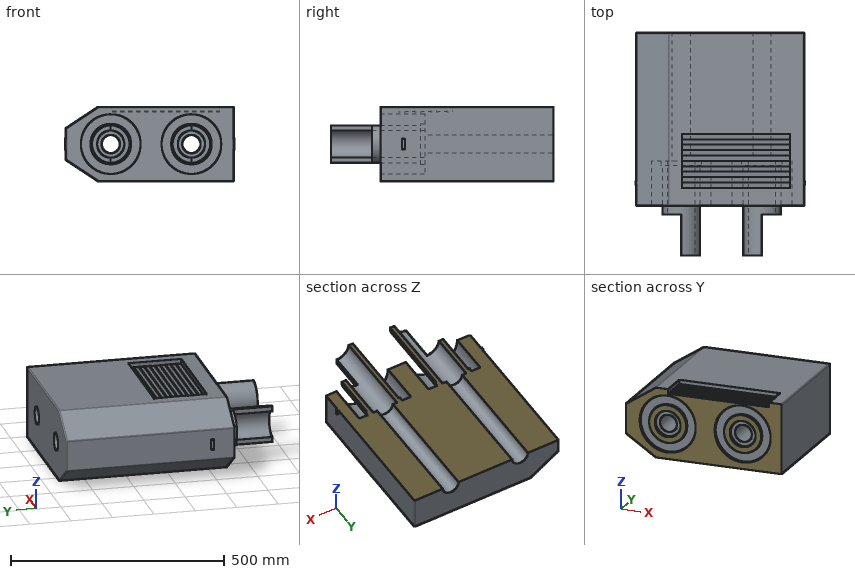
import cadquery as cq

TOTAL_LENGTH = 523.0
HEIGHT = 175.5
TOTAL_WIDTH = 398.5

NUB_HEIGHT = 2.0
BODY_WIDTH = TOTAL_WIDTH - 2 * NUB_HEIGHT
CONTACT_REACH = 116.5
BODY_LENGTH = TOTAL_LENGTH - CONTACT_REACH
TAPER_WIDTH = 76.5
LEFT_FLAT_HEIGHT = 74.5
EDGE_RADIUS = 2.5

NUB_LENGTH = 26.0
NUB_THICKNESS = 7.5
NUB_FROM_FRONT = 54.0
NUB_ROOT = 5.0

CONTACT_PITCH = 189.5
LEFT_CONTACT_X = 105.5
WELL_DIAMETER = 140.0
WELL_DEPTH = 104.5
COLLAR_DIAMETER = 95.0
COLLAR_LENGTH = 10.5
CONTACT_DIAMETER = 88.5
CUP_DIAMETER = 64.0
THROUGH_DIAMETER = 42.5
SHORT_LIP_REACH = 20.5

POCKET_LEFT = 108.0
POCKET_FRONT = 42.0
POCKET_WIDTH = 254.0
POCKET_LENGTH = 127.0
POCKET_DEPTH = 10.5
RIDGE_COUNT = 10
RIDGE_HEIGHT = 1.9


def cylinder_along_y(x, diameter, front, back):
    """Cylinder at mid height, running in Y from front to back."""
    return (
        cq.Workplane("XZ", origin=(x, front, 0))
        .circle(diameter / 2)
        .extrude(front - back)
    )


def make_housing():
    half_height = HEIGHT / 2
    half_flat = LEFT_FLAT_HEIGHT / 2
    outline = [
        (0, -half_flat),
        (0, half_flat),
        (TAPER_WIDTH, half_height),
        (BODY_WIDTH, half_height),
        (BODY_WIDTH, -half_height),
        (TAPER_WIDTH, -half_height),
    ]
    block = cq.Workplane("XZ").polyline(outline).close().extrude(-BODY_LENGTH)
    return block.edges().fillet(EDGE_RADIUS)


def make_nub(side_x):
    """Upright rounded bar straddling a side face."""
    return (
        cq.Workplane("YZ", origin=(side_x, NUB_FROM_FRONT, 0))
        .slot2D(NUB_LENGTH, NUB_THICKNESS, 90)
        .extrude(NUB_HEIGHT + NUB_ROOT)
    )


def make_label_pocket():
    """Pocket cutter whose floor is a row of ridges, each sloping down toward the front."""
    top = HEIGHT / 2
    ridge_top = top - POCKET_DEPTH
    ridge_bottom = ridge_top - RIDGE_HEIGHT
    pitch = POCKET_LENGTH / RIDGE_COUNT
    back = POCKET_FRONT + POCKET_LENGTH
    profile = [(back, top), (POCKET_FRONT, top)]
    for ridge in range(RIDGE_COUNT):
        ridge_front = POCKET_FRONT + ridge * pitch
        profile.append((ridge_front, ridge_bottom))
        profile.append((ridge_front + pitch, ridge_top))
    return (
        cq.Workplane("YZ", origin=(POCKET_LEFT, 0, 0))
        .polyline(profile)
        .close()
        .extrude(POCKET_WIDTH)
    )


def make_contact(x, open_side):
    """Hollow contact with a solder cup; open_side is -1 or +1, the X side cut back to a short lip."""
    collar = cylinder_along_y(x, COLLAR_DIAMETER, WELL_DEPTH - COLLAR_LENGTH, WELL_DEPTH)
    tube = cylinder_along_y(x, CONTACT_DIAMETER, -CONTACT_REACH, WELL_DEPTH)
    cup = cylinder_along_y(x, CUP_DIAMETER, -CONTACT_REACH, WELL_DEPTH)
    opening_length = CONTACT_REACH - SHORT_LIP_REACH
    opening_x = x + open_side * CONTACT_DIAMETER / 2
    opening_y = -SHORT_LIP_REACH - opening_length / 2
    opening = (
        cq.Workplane("XY", origin=(opening_x, opening_y, 0))
        .box(CONTACT_DIAMETER, opening_length, CONTACT_DIAMETER)
    )
    return collar.union(tube).cut(cup).cut(opening)


housing = make_housing()
housing = housing.union(make_nub(-NUB_HEIGHT)).union(make_nub(BODY_WIDTH - NUB_ROOT))
housing = housing.cut(make_label_pocket())

for contact_x, open_side in [(LEFT_CONTACT_X, -1), (LEFT_CONTACT_X + CONTACT_PITCH, 1)]:
    housing = housing.cut(cylinder_along_y(contact_x, WELL_DIAMETER, 0, WELL_DEPTH))
    housing = housing.union(make_contact(contact_x, open_side))
    housing = housing.cut(cylinder_along_y(contact_x, THROUGH_DIAMETER, WELL_DEPTH, BODY_LENGTH))

result = housing